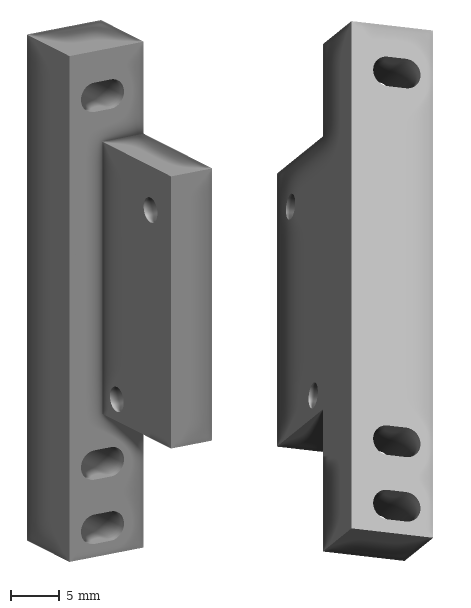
import cadquery as cq

bar_width = 8.35
bar_depth = 9.0
bar_height = 55

plate_reach = 13.4
plate_thickness = 5.0
plate_bottom = 15.4
plate_height = 29.6

plate_hole_diameter = 2.7
plate_hole_centres = [(11.15, 17.75), (17.75, 40.2)]

slot_length = 5.2
slot_width = 3.2
slot_center_y = 4.0
slot_heights = [3.0, 10.0, 50.0]


def make_bar():
    return cq.Workplane("XY").box(bar_width, bar_depth, bar_height, centered=False)


def make_plate():
    return (
        cq.Workplane("XY")
        .box(plate_reach, plate_thickness, plate_height, centered=False)
        .translate((bar_width, bar_depth - plate_thickness, plate_bottom))
    )


def make_plate_holes():
    return (
        cq.Workplane("XZ")
        .pushPoints(plate_hole_centres)
        .circle(plate_hole_diameter / 2)
        .extrude(-bar_depth)
    )


def make_slots():
    return (
        cq.Workplane("YZ")
        .pushPoints([(slot_center_y, height) for height in slot_heights])
        .slot2D(slot_length, slot_width)
        .extrude(bar_width)
    )


result = make_bar().union(make_plate()).cut(make_plate_holes()).cut(make_slots())